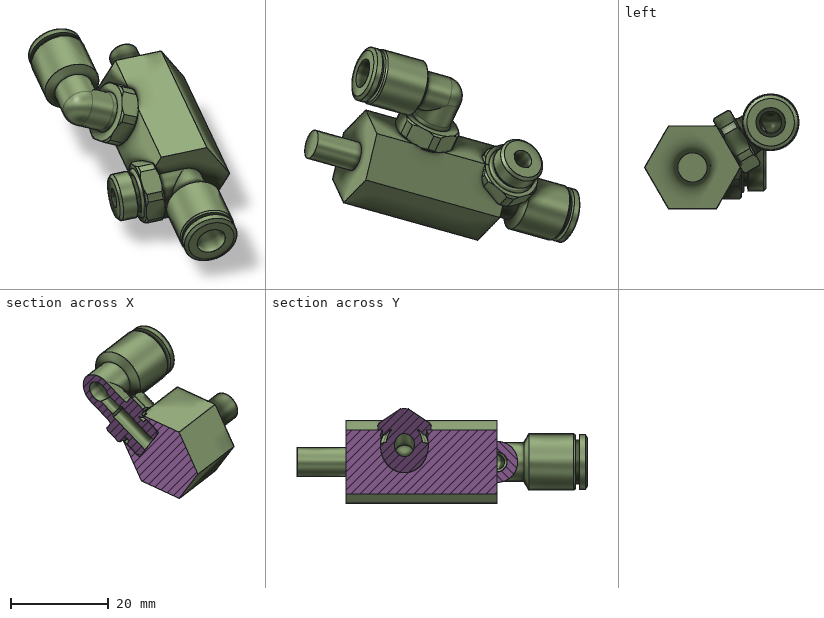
import cadquery as cq
import math

corner_to_flat_angle = 30.0
hexagon_corner_ratio = 1 / math.cos(math.radians(corner_to_flat_angle))

housing_length = 31.0
housing_across_flats = 17.0
housing_flat_distance = housing_across_flats / 2
housing_across_corners = housing_across_flats * hexagon_corner_ratio

rod_diameter = 6.0
rod_length = 10.0
housing_start = rod_length
housing_end = housing_start + housing_length

elbow_diameter = 8.0
elbow_base_diameter = 8.5
elbow_base_start = 5.2

nut_across_flats = 12.0
nut_across_corners = nut_across_flats * hexagon_corner_ratio
nut_corner_diameter = 13.0
nut_chamfer = 0.4
nut_start = 6.0
nut_end = 10.0
nut_height = nut_end - nut_start

seal_diameter = 10.4
seal_section_radius = 0.6
seal_section_center = seal_diameter / 2 - seal_section_radius
seal_end = nut_end + seal_section_radius

neck_diameter = 7.6
thread_diameter = 9.73
thread_minor_diameter = 8.57
thread_chamfer = (thread_diameter - thread_minor_diameter) / 2
thread_lead_in = 0.15
thread_start = 11.3
thread_end = 15.1

socket_diameter = 11.6
socket_cone_start = 5.45
socket_cone_end = 6.5
socket_end = 16.0
socket_rim_diameter = 11.0
socket_rim_length = 0.35
groove_diameter = 9.0
release_ring_diameter = 11.3
release_ring_start = 16.85
release_ring_end = 18.5
release_ring_chamfer_length = 0.45
release_ring_face_diameter = 9.73

socket_bore_diameter = 4.5
thread_bore_diameter = 4.0
inner_port_diameter = 3.0
inner_port_end = elbow_base_start
port_cone_length = (thread_bore_diameter - inner_port_diameter) / 2
tube_hole_diameter = 6.0
tube_hole_depth = 12.0

side_fitting_x = 22.0
side_fitting_tilt = -corner_to_flat_angle
side_fitting_offset = housing_flat_distance + nut_end


def turned(profile):
    """Turn a list of (distance, diameter) points about the X axis, starting at the elbow corner."""
    first_distance = profile[0][0]
    last_distance = profile[-1][0]
    outline = [(distance, diameter / 2) for distance, diameter in profile]
    return (
        cq.Workplane("XY")
        .polyline([(first_distance, 0), *outline, (last_distance, 0)])
        .close()
        .revolve(360, (0, 0, 0), (1, 0, 0))
    )


def along_minus_y(turned_shape):
    """Swing a shape turned about X so that it points along -Y."""
    return turned_shape.rotate((0, 0, 0), (0, 0, 1), -90)


def make_socket_branch():
    """Push-in tube socket with its groove and release ring, along +X."""
    return turned([
        (0, elbow_diameter),
        (socket_cone_start, elbow_diameter),
        (socket_cone_end, socket_diameter),
        (socket_end - socket_rim_length, socket_diameter),
        (socket_end, socket_rim_diameter),
        (socket_end, groove_diameter),
        (release_ring_start, groove_diameter),
        (release_ring_start, release_ring_diameter),
        (release_ring_end - release_ring_chamfer_length, release_ring_diameter),
        (release_ring_end, release_ring_face_diameter),
    ])


def make_seal():
    """Half-round seal ring on the seat face of the nut, around the -Y axis."""
    return along_minus_y(
        cq.Workplane("XY")
        .moveTo(nut_end, seal_section_center - seal_section_radius)
        .threePointArc(
            (seal_end, seal_section_center),
            (nut_end, seal_section_center + seal_section_radius),
        )
        .close()
        .revolve(360, (0, 0, 0), (1, 0, 0))
    )


def make_thread_end():
    """Relief neck and thread, along -Y."""
    return along_minus_y(turned([
        (nut_end, neck_diameter),
        (thread_start, neck_diameter),
        (thread_start, thread_minor_diameter),
        (thread_start + thread_lead_in, thread_diameter),
        (thread_end - thread_chamfer, thread_diameter),
        (thread_end, thread_minor_diameter),
    ]))


def make_elbow_leg():
    """Leg from the elbow corner to the nut, flaring slightly at its base, along -Y."""
    return along_minus_y(turned([
        (0, elbow_diameter),
        (elbow_base_start, elbow_diameter),
        (nut_start, elbow_base_diameter),
    ]))


def make_nut():
    """Hexagon with flats facing +X and -X, its corners rounded off and chamfered."""
    hexagon = (
        cq.Workplane("XZ", origin=(0, -nut_start, 0))
        .polygon(6, nut_across_corners)
        .extrude(nut_height)
        .rotate((0, 0, 0), (0, 1, 0), corner_to_flat_angle)
    )
    corner_limit = (
        cq.Workplane("XZ", origin=(0, -nut_start, 0))
        .circle(nut_corner_diameter / 2)
        .extrude(nut_height)
        .edges()
        .chamfer(nut_chamfer)
    )
    return hexagon.intersect(corner_limit)


def make_flow_passage():
    """Connected bores of the fitting: tube hole, socket bore, round corner and threaded-leg bore."""
    socket_bore = turned([
        (0, socket_bore_diameter),
        (release_ring_end - tube_hole_depth, socket_bore_diameter),
        (release_ring_end - tube_hole_depth, tube_hole_diameter),
        (release_ring_end, tube_hole_diameter),
    ])
    thread_bore = along_minus_y(turned([
        (0, inner_port_diameter),
        (inner_port_end, inner_port_diameter),
        (inner_port_end + port_cone_length, thread_bore_diameter),
        (thread_end, thread_bore_diameter),
    ]))
    corner = cq.Workplane("XY").sphere(socket_bore_diameter / 2)
    return socket_bore.union(corner).union(thread_bore)


def make_fitting():
    """Elbow fitting with its corner at the origin, socket along +X and thread along -Y."""
    corner = cq.Workplane("XY").sphere(elbow_diameter / 2)
    return (
        make_socket_branch()
        .union(corner)
        .union(make_elbow_leg())
        .union(make_nut())
        .union(make_seal())
        .union(make_thread_end())
        .cut(make_flow_passage())
    )


def place_on_side(shape):
    """Move a fitting shape onto the upper front flat: thread inward, socket towards -X."""
    tilt = math.radians(side_fitting_tilt)
    corner_y = -side_fitting_offset * math.cos(tilt)
    corner_z = -side_fitting_offset * math.sin(tilt)
    return (
        shape.rotate((0, 0, 0), (0, 0, 1), 180)
        .rotate((0, 0, 0), (1, 0, 0), side_fitting_tilt)
        .translate((side_fitting_x, corner_y, corner_z))
    )


def make_port():
    """Hole for the fitting thread: seal recess and plain bore, in fitting coordinates."""
    return along_minus_y(turned([
        (nut_end, seal_diameter),
        (seal_end, seal_diameter),
        (seal_end, thread_diameter),
        (thread_end, thread_diameter),
    ]))


housing_blank = (
    cq.Workplane("YZ", origin=(housing_start, 0, 0))
    .polygon(6, housing_across_corners)
    .extrude(housing_length)
)

rod = cq.Workplane("YZ").circle(rod_diameter / 2).extrude(rod_length)

housing = housing_blank.cut(place_on_side(make_port()))

side_fitting = place_on_side(make_fitting())

end_fitting = make_fitting().translate((housing_end, 0, 0)).cut(housing_blank)

result = cq.Compound.makeCompound([
    housing.val(),
    rod.val(),
    side_fitting.val(),
    end_fitting.val(),
])